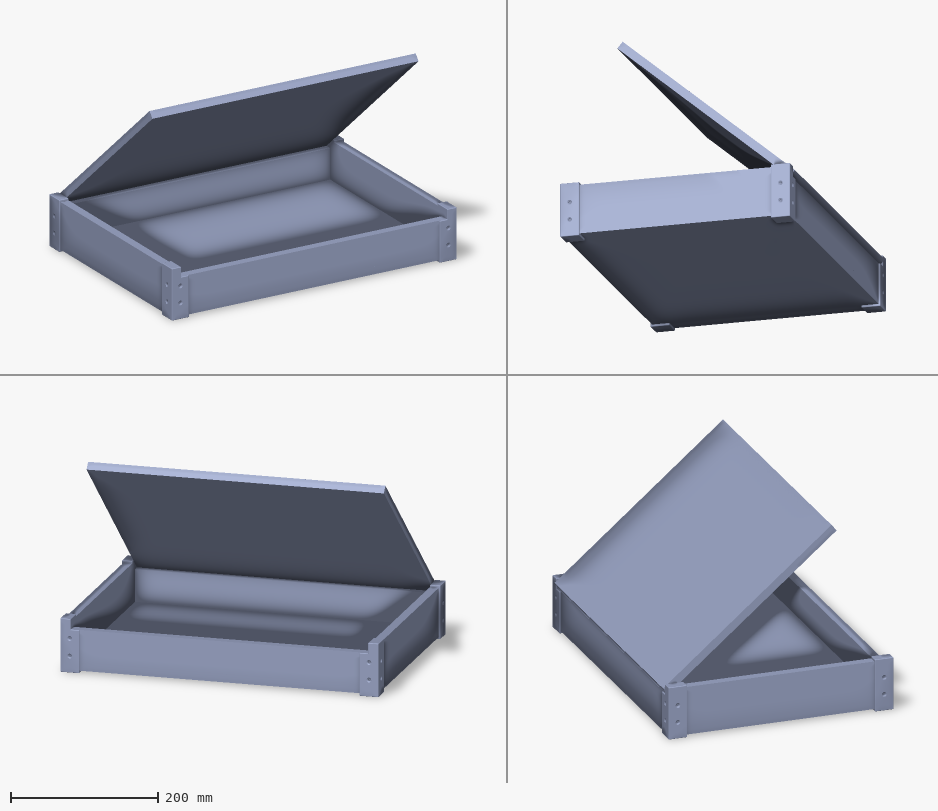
import cadquery as cq

BOX_LENGTH = 326.0
BOX_WIDTH = 450.0

PANEL = 11.5
WALL = 12.5
SIDE_WALL_HEIGHT = 57.5

SHEET = 2.2
PLATE = 3.0
LEG = 27.0
EDGE_RADIUS = 1.0
HOLE_DIAMETER = 3.2
SINK_DIAMETER = 6.8
SINK_DEPTH = 1.5
LOWER_HOLE_Z = 23.5
HOLE_SPACING = 24.8

LID_LENGTH = 318.5
LID_ANGLE = 40.0
LID_INSET = 5.0

FLOOR_LENGTH = BOX_LENGTH - 2 * SHEET
FLOOR_WIDTH = BOX_WIDTH - 2 * SHEET
INNER_WIDTH = FLOOR_WIDTH - 2 * WALL
FLOOR_TOP = PLATE + PANEL
SIDE_WALL_TOP = FLOOR_TOP + SIDE_WALL_HEIGHT
END_WALL_TOP = SIDE_WALL_TOP - PANEL
BRACKET_HEIGHT = SIDE_WALL_TOP + PLATE
CAP_WIDTH = SHEET + WALL


def block(x_size, y_size, z_size, corner=(0, 0, 0)):
    """Box whose lowest X, Y and Z corner sits at the given point."""
    return cq.Workplane("XY").box(x_size, y_size, z_size, centered=False).translate(corner)


def make_floor():
    return block(FLOOR_LENGTH, FLOOR_WIDTH, PANEL, (SHEET, -FLOOR_WIDTH / 2, PLATE))


def make_side_wall(side):
    """Wall along X; side is -1 for the -Y wall and +1 for the +Y wall."""
    wall = block(FLOOR_LENGTH, WALL, SIDE_WALL_HEIGHT, (SHEET, -FLOOR_WIDTH / 2, FLOOR_TOP))
    return wall if side < 0 else wall.mirror("XZ")


def make_end_wall(x_start):
    """Wall along Y, fitted between the side walls."""
    return block(WALL, INNER_WIDTH, END_WALL_TOP - FLOOR_TOP, (x_start, -INNER_WIDTH / 2, FLOOR_TOP))


def screw_hole(centre, inward):
    """Countersunk hole cutter that starts on an outer bracket face."""
    start = cq.Vector(*centre)
    direction = cq.Vector(*inward)
    drill = cq.Solid.makeCylinder(HOLE_DIAMETER / 2, SHEET, start, direction)
    sink = cq.Solid.makeCone(SINK_DIAMETER / 2, HOLE_DIAMETER / 2, SINK_DEPTH, start, direction)
    return cq.Workplane(drill.fuse(sink))


def bracket_envelope(y_outer):
    """Rounded outer shape of a bracket, stepped down beside the cap to let the lid pass."""
    y_step = y_outer + CAP_WIDTH
    profile = [
        (y_outer, 0),
        (y_outer + LEG, 0),
        (y_outer + LEG, END_WALL_TOP),
        (y_step, END_WALL_TOP),
        (y_step, BRACKET_HEIGHT),
        (y_outer, BRACKET_HEIGHT),
    ]
    envelope = cq.Workplane("YZ").polyline(profile).close().extrude(LEG)
    inner_corner = cq.NearestToPointSelector((LEG / 2, y_step, END_WALL_TOP))
    outer_edges = cq.selectors.InverseSelector(inner_corner)
    return envelope.edges(outer_edges).fillet(EDGE_RADIUS)


def make_bracket(x_side, y_side):
    """Corner bracket, modelled at the -X -Y corner and mirrored to the others."""
    y_outer = -BOX_WIDTH / 2
    board_space = block(LEG, LEG, SIDE_WALL_TOP - PLATE, (SHEET, y_outer + SHEET, PLATE))
    bracket = bracket_envelope(y_outer).cut(board_space)

    for hole_z in (LOWER_HOLE_Z, LOWER_HOLE_Z + HOLE_SPACING):
        bracket = bracket.cut(screw_hole((LEG / 2, y_outer, hole_z), (0, 1, 0)))
        bracket = bracket.cut(screw_hole((0, y_outer + LEG / 2, hole_z), (1, 0, 0)))

    if x_side > 0:
        bracket = bracket.mirror("YZ", (BOX_LENGTH / 2, 0, 0))
    if y_side > 0:
        bracket = bracket.mirror("XZ")
    return bracket


def make_lid():
    """Flat board, tilted up about its lower -X edge."""
    lid = block(LID_LENGTH, INNER_WIDTH, PANEL, (0, -INNER_WIDTH / 2, 0))
    lid = lid.rotate((0, 0, 0), (0, 1, 0), -LID_ANGLE)
    return lid.translate((LID_INSET, 0, END_WALL_TOP))


floor = make_floor()
side_walls = [make_side_wall(side) for side in (-1, 1)]
end_walls = [make_end_wall(x_start) for x_start in (SHEET, BOX_LENGTH - SHEET - WALL)]
brackets = [make_bracket(x_side, y_side) for x_side in (-1, 1) for y_side in (-1, 1)]
lid = make_lid()

bodies = [floor, *side_walls, *end_walls, *brackets, lid]
result = cq.Compound.makeCompound([body.solids().val() for body in bodies])